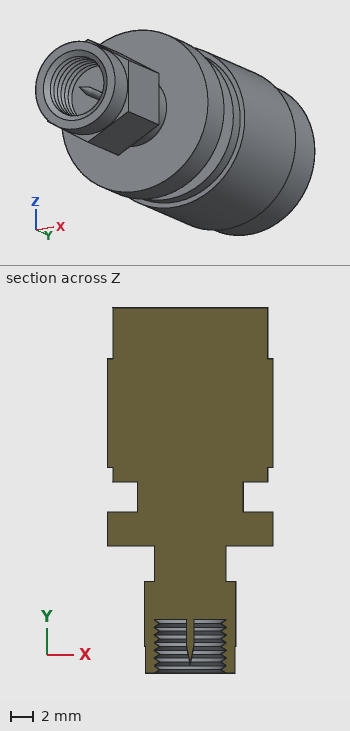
import cadquery as cq


nose_length = 2.35
nose_diameter = 7.85
hex_length = 5.7
hex_across_flats = 8.0

stem_length = 3.07
stem_diameter = 6.3
flange_length = 3.0
flange_diameter = 14.47
neck_length = 2.6
neck_diameter = 9.3
shoulder_length = 1.28
sleeve_length = 9.52
sleeve_diameter = flange_diameter
back_length = 4.45
back_diameter = 13.58

thread_pitch = 0.67
thread_count = 7
thread_root_diameter = 6.3
thread_crest_diameter = 5.3
bore_depth = thread_count * thread_pitch

pin_diameter = 0.7
pin_tip_depth = 0.75
pin_taper_length = 1.75


def revolve_about_y(points):
    """Revolve a closed outline of (radius, y) points about the Y axis."""
    outline = cq.Workplane("XY").polyline(points).close()
    return outline.revolve(360, (0, 0, 0), (0, 1, 0))


def make_turned_body():
    """Stack the cylindrical sections from the mouth to the back end."""
    sections = [
        (nose_length + hex_length, nose_diameter),
        (stem_length, stem_diameter),
        (flange_length, flange_diameter),
        (neck_length, neck_diameter),
        (shoulder_length, back_diameter),
        (sleeve_length, sleeve_diameter),
        (back_length, back_diameter),
    ]
    outline = [(0, 0)]
    y = 0
    for length, diameter in sections:
        outline.append((diameter / 2, y))
        y += length
        outline.append((diameter / 2, y))
    outline.append((0, y))
    return revolve_about_y(outline)


def make_hexagon():
    """Hexagonal wrench grip with flats facing +X and -X."""
    plane = cq.Workplane("XZ", origin=(0, nose_length, 0))
    return plane.polygon(6, hex_across_flats, circumscribed=True).extrude(-hex_length)


def make_threaded_bore():
    """Blind bore whose wall zigzags between thread root and crest."""
    outline = [(0, 0), (thread_root_diameter / 2, 0)]
    for turn in range(thread_count):
        crest_y = (turn + 0.5) * thread_pitch
        root_y = (turn + 1) * thread_pitch
        outline.append((thread_crest_diameter / 2, crest_y))
        outline.append((thread_root_diameter / 2, root_y))
    outline.append((0, bore_depth))
    return revolve_about_y(outline)


def make_pin():
    """Contact pin with a pointed front, rising from the bore floor."""
    radius = pin_diameter / 2
    root_y = bore_depth + thread_pitch
    return revolve_about_y([
        (0, pin_tip_depth),
        (radius, pin_tip_depth + pin_taper_length),
        (radius, root_y),
        (0, root_y),
    ])


result = make_turned_body().union(make_hexagon()).cut(make_threaded_bore()).union(make_pin())